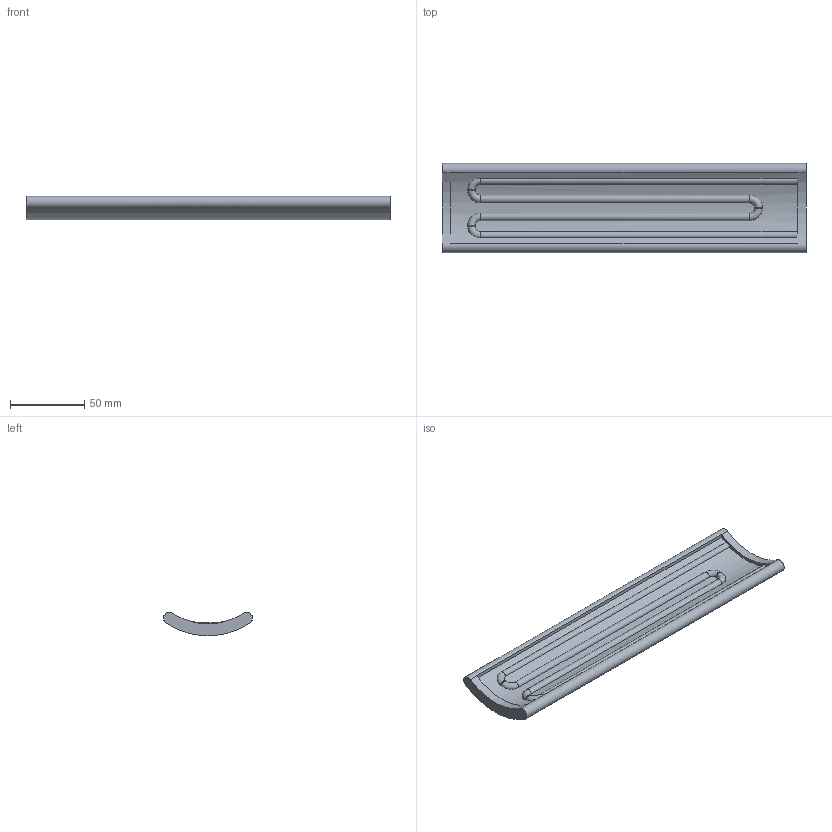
import cadquery as cq
import math

length = 245.0
width = 59.99
height = 15.82
wall = 8.0

rim = 6.0
recess_depth = 2.0

pipe_radius = 2.6
inner_run_y = 6.0
inner_run_sink = 0.2
outer_run_y = 18.5
outer_run_sink = 1.4
link_length = 0.7
near_bend_x = 25.8
far_bend_x = 207.3

edge_radius = wall / 2
edge_y = width / 2 - edge_radius
mid_sag = height - wall
mid_radius = (edge_y**2 + mid_sag**2) / (2 * mid_sag)
inner_radius = mid_radius - edge_radius
outer_radius = mid_radius + edge_radius
floor_radius = inner_radius + recess_depth
axis_z = outer_radius
edge_angle = math.asin(edge_y / mid_radius)
recess_length = length - 2 * rim
recess_width = width - 2 * rim


def on_arc(radius, angle):
    """Section point at a given radius and angle from straight down, about the tube axis."""
    return (radius * math.sin(angle), axis_z - radius * math.cos(angle))


def make_tray():
    edge_mid_angle = math.pi / 2 + edge_angle
    tip_dy = edge_radius * math.sin(edge_mid_angle)
    tip_dz = -edge_radius * math.cos(edge_mid_angle)
    centre_y, centre_z = on_arc(mid_radius, edge_angle)
    right_tip = (centre_y + tip_dy, centre_z + tip_dz)
    left_tip = (-right_tip[0], right_tip[1])
    return (
        cq.Workplane("YZ")
        .moveTo(*on_arc(outer_radius, -edge_angle))
        .threePointArc(on_arc(outer_radius, 0), on_arc(outer_radius, edge_angle))
        .threePointArc(right_tip, on_arc(inner_radius, edge_angle))
        .threePointArc(on_arc(inner_radius, 0), on_arc(inner_radius, -edge_angle))
        .threePointArc(left_tip, on_arc(outer_radius, -edge_angle))
        .close()
        .extrude(length)
    )


def make_recess():
    """Rectangle in plan, bounded below by the floor cylinder."""
    floor_cylinder = cq.Workplane("YZ").center(0, axis_z).circle(floor_radius).extrude(length)
    plan = cq.Workplane("XY").center(length / 2, 0).rect(recess_length, recess_width).extrude(axis_z)
    return plan.intersect(floor_cylinder)


def run_centre(side, run_y, sink):
    """Section position of a run, its axis lying the given depth under the recess floor."""
    path_radius = floor_radius + sink
    return cq.Vector(0, side * run_y, axis_z - math.sqrt(path_radius**2 - run_y**2))


def bend_edges(start, end, bulge):
    """U-bend between two runs, in their common plane: quarter, short link, quarter.

    bulge: +1 or -1, the X side the bend bulges to.
    """
    across = (end - start).normalized()
    outward = cq.Vector(bulge, 0, 0)
    bend_radius = ((end - start).Length - link_length) / 2
    diagonal = math.sqrt(0.5)
    first_pivot = start + across * bend_radius
    second_pivot = end - across * bend_radius
    link_start = first_pivot + outward * bend_radius
    link_end = second_pivot + outward * bend_radius
    first_mid = first_pivot + (outward - across) * (bend_radius * diagonal)
    second_mid = second_pivot + (outward + across) * (bend_radius * diagonal)
    return [
        cq.Edge.makeThreePointArc(start, first_mid, link_start),
        cq.Edge.makeLine(link_start, link_end),
        cq.Edge.makeThreePointArc(link_end, second_mid, end),
    ]


def make_pipe():
    """Four runs joined in series; both free ends stop at the high-X recess wall."""
    runs = [
        run_centre(-1, outer_run_y, outer_run_sink),
        run_centre(-1, inner_run_y, inner_run_sink),
        run_centre(1, inner_run_y, inner_run_sink),
        run_centre(1, outer_run_y, outer_run_sink),
    ]
    near = cq.Vector(near_bend_x, 0, 0)
    far = cq.Vector(far_bend_x, 0, 0)
    outlet = cq.Vector(length - rim, 0, 0)

    edges = [cq.Edge.makeLine(runs[0] + outlet, runs[0] + near)]
    edges += bend_edges(runs[0] + near, runs[1] + near, -1)
    edges.append(cq.Edge.makeLine(runs[1] + near, runs[1] + far))
    edges += bend_edges(runs[1] + far, runs[2] + far, 1)
    edges.append(cq.Edge.makeLine(runs[2] + far, runs[2] + near))
    edges += bend_edges(runs[2] + near, runs[3] + near, -1)
    edges.append(cq.Edge.makeLine(runs[3] + near, runs[3] + outlet))
    path = cq.Wire.assembleEdges(edges)

    section = cq.Plane(origin=(runs[0] + outlet).toTuple(), normal=(-1, 0, 0))
    return cq.Workplane(section).circle(pipe_radius).sweep(path)


result = make_tray().cut(make_recess()).union(make_pipe())